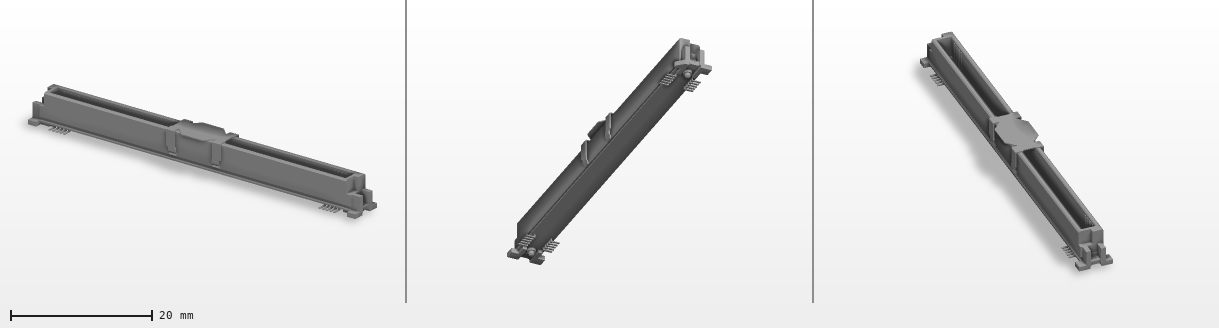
import cadquery as cq

LENGTH = 57.67
WIDTH = 5.2
HEIGHT = 5.85
PEG_DEPTH = 0.53
TOP_Z = HEIGHT - PEG_DEPTH

CAP_THICKNESS = 0.17
CAP_HALF_LENGTH = 4.78
CAP_FLAT_HALF_LENGTH = 1.85
CAP_NOTCH_HALF_WIDTH = 1.3
CAP_END_RELIEF = 0.2
CAP_END_RELIEF_HALF_WIDTH = 0.95
LEG_INNER_X = 3.33
LEG_OUTER_Y = 2.2
LEG_THICKNESS = 0.2
CAP_BEND_RADIUS = 0.15
LEG_SHOULDER_Z = 2.75
LEG_NECK_Z = 2.45
LEG_NECK_SHIFT = 0.37
LEG_TOE_SHIFT = 0.15
LEG_STRAIGHT_END_Z = 2.0
LEG_WAIST_Z = 1.65
LEG_WAIST_Y = 1.92
LEG_TOE_Z = 1.42
LEG_TOE_Y = 2.06
LEG_END_Y = 1.85

HOUSING_TOP_Z = TOP_Z - CAP_THICKNESS
HOUSING_HALF_LENGTH = 27.37
HOUSING_HALF_WIDTH = 1.78
HOUSING_BOTTOM_Z = 1.26
RIM_CHAMFER = 0.2
CAVITY_HALF_LENGTH = 26.15
CAVITY_HALF_WIDTH = 1.1
CAVITY_CHAMFER = 0.15
CAVITY_FLOOR_Z = 1.5
KEY_STEP_X = 26.6
KEY_STEP_Y = 0.1
BASE_HALF_WIDTH = 1.5
FLANGE_HALF_WIDTH = 1.87
FLANGE_TOP_Z = 0.75
BASE_BOTTOM_Z = 0.5
CORNER_POST_LENGTH = 0.6
CORNER_POST_WIDTH = 0.6
CORNER_POST_HEIGHT = 0.4

BRACKET_TOP_Z = 3.0
POST_INNER_Y = 0.78
PAD_HEIGHT = 0.72
PAD_CHAMFER = 1.08
FOOT_INNER_X = 25.85
FOOT_INNER_Y = 0.9
WEB_INSET = 0.2
WEB_TOP_Z = 1.08
WEB_REAR_TOP_Z = 1.6
WEB_REAR_THICKNESS = 0.15
WEB_BOTTOM_Z = 0.4
WEB_HOLE_X = 27.95
WEB_HOLE_DIAMETER = 0.85
WEB_HOLE_DEPTH = 0.1
WEB_RECESS_DEPTH = 0.08
WEB_RECESS_HALF_WIDTH = 0.57
WEB_RECESS_TOP_Z = 0.98

PEG_X = 26.33
PEG_COLLAR_DIAMETER = 1.3
PEG_DIAMETER = 0.85
PEG_COLLAR_BOTTOM_Z = 0.1
PEG_TIP_CHAMFER = 0.2

TERMINAL_COUNT = 5
TERMINAL_PITCH = 0.635
TERMINAL_WIDTH = 0.3
TERMINAL_THICKNESS = 0.15
TERMINAL_GROUP_X = 23.78
TERMINAL_LEG_Y = 1.35
CONTACT_PROTRUSION = 0.08
CONTACT_TOP_Z = 4.7

SIDES = (-1, 1)


def box(x_range, y_range, z_range):
    """Axis-aligned block between pairs of coordinates given in either order."""
    spans = [sorted(limits) for limits in (x_range, y_range, z_range)]
    sizes = [high - low for low, high in spans]
    corner = tuple(low for low, high in spans)
    return cq.Workplane("XY").box(*sizes, centered=False).translate(corner)


def make_housing():
    """Long open-topped shell standing on a narrower base with a bottom flange."""
    half_x = HOUSING_HALF_LENGTH
    half_y = HOUSING_HALF_WIDTH
    shell = box((-half_x, half_x), (-half_y, half_y), (HOUSING_BOTTOM_Z, HOUSING_TOP_Z))
    shell = shell.edges("|X and >Z").chamfer(RIM_CHAMFER)
    for side in SIDES:
        key_step = box(
            (side * KEY_STEP_X, side * half_x),
            (-half_y, KEY_STEP_Y),
            (BRACKET_TOP_Z, HOUSING_TOP_Z),
        )
        shell = shell.cut(key_step)
    cavity = box(
        (-CAVITY_HALF_LENGTH, CAVITY_HALF_LENGTH),
        (-CAVITY_HALF_WIDTH, CAVITY_HALF_WIDTH),
        (CAVITY_FLOOR_Z, HOUSING_TOP_Z),
    )
    for side in SIDES:
        wall_y = side * CAVITY_HALF_WIDTH
        lead_in = (
            cq.Workplane("YZ", origin=(-CAVITY_HALF_LENGTH, 0, 0))
            .moveTo(wall_y, HOUSING_TOP_Z - CAVITY_CHAMFER)
            .lineTo(wall_y + side * CAVITY_CHAMFER, HOUSING_TOP_Z)
            .lineTo(wall_y, HOUSING_TOP_Z)
            .close()
            .extrude(2 * CAVITY_HALF_LENGTH)
        )
        cavity = cavity.union(lead_in)
    shell = shell.cut(cavity)
    base = box((-half_x, half_x), (-BASE_HALF_WIDTH, BASE_HALF_WIDTH), (FLANGE_TOP_Z, HOUSING_BOTTOM_Z))
    flange = box(
        (-half_x, half_x),
        (-FLANGE_HALF_WIDTH, FLANGE_HALF_WIDTH),
        (BASE_BOTTOM_Z, FLANGE_TOP_Z),
    )
    return shell.union(base).union(flange)


def make_corner_post(side_x, side_y):
    """Low block on the cavity floor in one corner."""
    return box(
        (side_x * (CAVITY_HALF_LENGTH - CORNER_POST_LENGTH), side_x * CAVITY_HALF_LENGTH),
        (side_y * (CAVITY_HALF_WIDTH - CORNER_POST_WIDTH), side_y * CAVITY_HALF_WIDTH),
        (CAVITY_FLOOR_Z, CAVITY_FLOOR_Z + CORNER_POST_HEIGHT),
    )


def make_bracket(side_x):
    """End bracket: two posts with solder pads and feet, joined by a web with a blind hole."""
    outer_x = side_x * LENGTH / 2
    inner_x = side_x * HOUSING_HALF_LENGTH
    web_x = side_x * (LENGTH / 2 - WEB_INSET)
    bracket = box((web_x, inner_x), (-POST_INNER_Y, POST_INNER_Y), (WEB_BOTTOM_Z, WEB_TOP_Z))
    hole = (
        cq.Workplane("XY", origin=(side_x * WEB_HOLE_X, 0, WEB_TOP_Z))
        .circle(WEB_HOLE_DIAMETER / 2)
        .extrude(-WEB_HOLE_DEPTH)
    )
    recess = box(
        (web_x, web_x - side_x * WEB_RECESS_DEPTH),
        (-WEB_RECESS_HALF_WIDTH, WEB_RECESS_HALF_WIDTH),
        (WEB_BOTTOM_Z, WEB_RECESS_TOP_Z),
    )
    web_rear = box(
        (inner_x + side_x * WEB_REAR_THICKNESS, inner_x),
        (-POST_INNER_Y, POST_INNER_Y),
        (WEB_BOTTOM_Z, WEB_REAR_TOP_Z),
    )
    bracket = bracket.cut(hole).cut(recess).union(web_rear)
    for side_y in SIDES:
        post_outer_y = side_y * BASE_HALF_WIDTH
        post = box((outer_x, inner_x), (side_y * POST_INNER_Y, post_outer_y), (WEB_BOTTOM_Z, BRACKET_TOP_Z))
        foot = box(
            (outer_x, side_x * FOOT_INNER_X),
            (side_y * FOOT_INNER_Y, post_outer_y),
            (0, BASE_BOTTOM_Z),
        )
        pad = box((outer_x, inner_x), (post_outer_y, side_y * WIDTH / 2), (0, PAD_HEIGHT))
        if side_x < 0 < side_y:
            pad = pad.edges("|Z and <X and >Y").chamfer(PAD_CHAMFER)
        bracket = bracket.union(post).union(foot).union(pad)
    return bracket


def make_peg(side_x):
    """Stepped locating peg with a tapered tip, hanging from the base."""
    collar = (
        cq.Workplane("XY", origin=(side_x * PEG_X, 0, PEG_COLLAR_BOTTOM_Z))
        .circle(PEG_COLLAR_DIAMETER / 2)
        .extrude(BASE_BOTTOM_Z - PEG_COLLAR_BOTTOM_Z)
    )
    shank = (
        cq.Workplane("XY", origin=(side_x * PEG_X, 0, -PEG_DEPTH))
        .circle(PEG_DIAMETER / 2)
        .extrude(PEG_DEPTH + PEG_COLLAR_BOTTOM_Z)
        .faces("<Z")
        .chamfer(PEG_TIP_CHAMFER)
    )
    return collar.union(shank)


def make_terminal(x, side_y):
    """L-shaped solder tail under the base and the contact strip on the cavity wall."""
    x_range = (x - TERMINAL_WIDTH / 2, x + TERMINAL_WIDTH / 2)
    leg_y = side_y * TERMINAL_LEG_Y
    leg = box(x_range, (leg_y, leg_y - side_y * TERMINAL_THICKNESS), (0, BASE_BOTTOM_Z))
    tail = box(x_range, (leg_y, side_y * WIDTH / 2), (0, TERMINAL_THICKNESS))
    wall_y = side_y * CAVITY_HALF_WIDTH
    contact = box(x_range, (wall_y, wall_y - side_y * CONTACT_PROTRUSION), (CAVITY_FLOOR_Z, CONTACT_TOP_Z))
    return leg.union(tail).union(contact)


def make_cap_plate():
    """Flat plate: an octagonal middle with a crossbar at each end."""
    slope_run = WIDTH / 2 - CAP_NOTCH_HALF_WIDTH
    neck_x = CAP_FLAT_HALF_LENGTH + slope_run
    octagon = (
        cq.Workplane("XY", origin=(0, 0, HOUSING_TOP_Z))
        .rect(2 * neck_x, WIDTH)
        .extrude(CAP_THICKNESS)
        .edges("|Z")
        .chamfer(slope_run)
    )
    plate_z = (HOUSING_TOP_Z, TOP_Z)
    neck_y = (-CAP_NOTCH_HALF_WIDTH, CAP_NOTCH_HALF_WIDTH)
    plate = octagon.union(box((-LEG_INNER_X, LEG_INNER_X), neck_y, plate_z))
    relief_y = (-CAP_END_RELIEF_HALF_WIDTH, CAP_END_RELIEF_HALF_WIDTH)
    for side in SIDES:
        end_x = side * CAP_HALF_LENGTH
        crossbar = box((side * LEG_INNER_X, end_x), (-LEG_OUTER_Y, LEG_OUTER_Y), plate_z)
        crossbar = crossbar.edges("|X and >Z").fillet(CAP_BEND_RADIUS)
        relief = box((end_x, end_x - side * CAP_END_RELIEF), relief_y, plate_z)
        plate = plate.union(crossbar.cut(relief))
    return plate


def make_leg(side_x, side_y):
    """Spring leg: its bent side profile trimmed to its narrowing front outline."""
    outer = [
        (LEG_OUTER_Y, HOUSING_TOP_Z),
        (LEG_OUTER_Y, LEG_STRAIGHT_END_Z),
        (LEG_WAIST_Y, LEG_WAIST_Z),
        (LEG_TOE_Y, LEG_TOE_Z),
        (LEG_END_Y, HOUSING_BOTTOM_Z),
    ]
    inner = [(y - LEG_THICKNESS, z) for y, z in reversed(outer)]
    side_profile = [(side_y * y, z) for y, z in outer + inner]
    strip = cq.Workplane("YZ").polyline(side_profile).close().extrude(side_x * CAP_HALF_LENGTH)
    neck_x = CAP_HALF_LENGTH - LEG_NECK_SHIFT
    toe_inner_x = LEG_INNER_X - LEG_TOE_SHIFT
    front_outline = [
        (LEG_INNER_X, HOUSING_TOP_Z),
        (CAP_HALF_LENGTH, HOUSING_TOP_Z),
        (CAP_HALF_LENGTH, LEG_SHOULDER_Z),
        (neck_x, LEG_NECK_Z),
        (neck_x, HOUSING_BOTTOM_Z),
        (toe_inner_x, HOUSING_BOTTOM_Z),
        (toe_inner_x, LEG_NECK_Z),
        (LEG_INNER_X, LEG_SHOULDER_Z),
    ]
    mirrored_outline = [(side_x * x, z) for x, z in front_outline]
    blank = cq.Workplane("XZ").polyline(mirrored_outline).close().extrude(WIDTH / 2, both=True)
    return strip.intersect(blank)


result = make_housing().union(make_cap_plate())
for end in SIDES:
    result = result.union(make_bracket(end)).union(make_peg(end))
    for flank in SIDES:
        result = result.union(make_corner_post(end, flank)).union(make_leg(end, flank))
        for index in range(TERMINAL_COUNT):
            offset = (index - (TERMINAL_COUNT - 1) / 2) * TERMINAL_PITCH
            result = result.union(make_terminal(end * TERMINAL_GROUP_X + offset, flank))